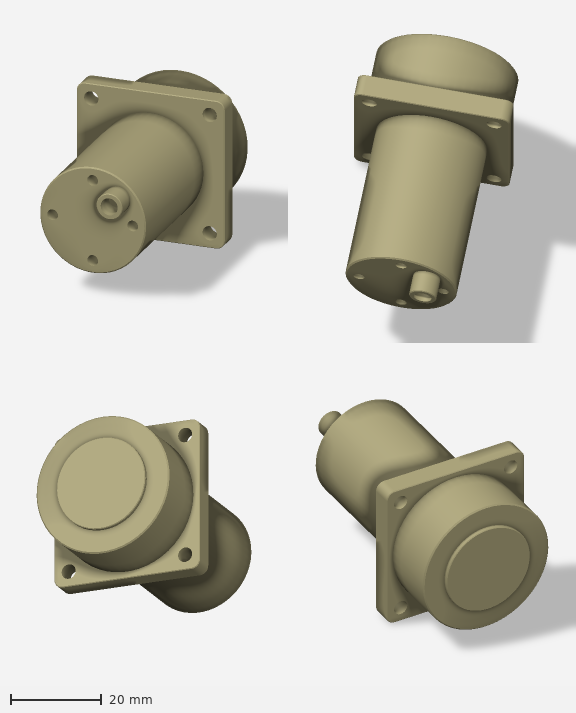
import cadquery as cq
import math

total_length = 60.0
connector_length = 5.0
flange_thickness = 5.0
hub_length = 13.5
lip_length = 1.0
body_length = total_length - connector_length - flange_thickness - hub_length - lip_length

body_diameter = 25.0
hub_diameter = 32.0
lip_diameter = 21.3
round_edge_chamfer = 0.3
lip_chamfer = 0.2

flange_side = 35.0
flange_corner_radius = 2.0
flange_chamfer = 0.2
flange_hole_diameter = 3.35
flange_hole_pitch = 28.0

end_hole_count = 4
end_hole_diameter = 2.5
end_hole_circle_radius = 9.5
end_hole_depth = 6.0
drill_point_angle = 118.0

connector_diameter = 6.1
connector_bore_diameter = 4.0
connector_offset = 5.8
connector_chamfer = 0.2

flange_front = body_length
flange_back = flange_front + flange_thickness
hub_back = flange_back + hub_length


def plane_at(y, x=0.0, z=0.0):
    """Work plane facing +Y with its local axes along +Z and +X."""
    return cq.Workplane(cq.Plane(origin=(x, y, z), xDir=(0, 0, 1), normal=(0, 1, 0)))


def make_cylinder(y, diameter, length, x=0.0, z=0.0):
    return plane_at(y, x, z).circle(diameter / 2).extrude(length)


def make_body():
    return make_cylinder(0, body_diameter, body_length).faces("<Y").chamfer(round_edge_chamfer)


def make_flange():
    flange = plane_at(flange_front).rect(flange_side, flange_side).extrude(flange_thickness)
    flange = flange.edges("|Y").fillet(flange_corner_radius)
    flange = flange.faces("<Y or >Y").chamfer(flange_chamfer)
    holes = (
        plane_at(flange_front)
        .rect(flange_hole_pitch, flange_hole_pitch, forConstruction=True)
        .vertices()
        .circle(flange_hole_diameter / 2)
        .extrude(flange_thickness)
    )
    return flange.cut(holes)


def make_hub():
    return make_cylinder(flange_back, hub_diameter, hub_length).faces(">Y").chamfer(round_edge_chamfer)


def make_lip():
    return make_cylinder(hub_back, lip_diameter, lip_length).faces(">Y").chamfer(lip_chamfer)


def make_connector():
    connector = make_cylinder(
        -connector_length, connector_diameter, connector_length, connector_offset, connector_offset
    )
    connector = connector.faces("<Y").chamfer(connector_chamfer)
    bore = make_cylinder(
        -connector_length, connector_bore_diameter, connector_length, connector_offset, connector_offset
    )
    return connector.cut(bore)


def make_drilled_hole(x, z):
    """Cutter for a blind hole with a conical drill point, entering at Y = 0."""
    radius = end_hole_diameter / 2
    point_length = radius / math.tan(math.radians(drill_point_angle / 2))
    half_profile = (
        cq.Workplane("XY")
        .polyline([(0, 0), (radius, 0), (radius, end_hole_depth), (0, end_hole_depth + point_length)])
        .close()
    )
    return half_profile.revolve(360, (0, 0, 0), (0, 1, 0)).translate((x, 0, z))


result = make_body().union(make_flange()).union(make_hub()).union(make_lip()).union(make_connector())

for index in range(end_hole_count):
    angle = 2 * math.pi * index / end_hole_count
    hole_x = end_hole_circle_radius * math.cos(angle)
    hole_z = end_hole_circle_radius * math.sin(angle)
    result = result.cut(make_drilled_hole(hole_x, hole_z))